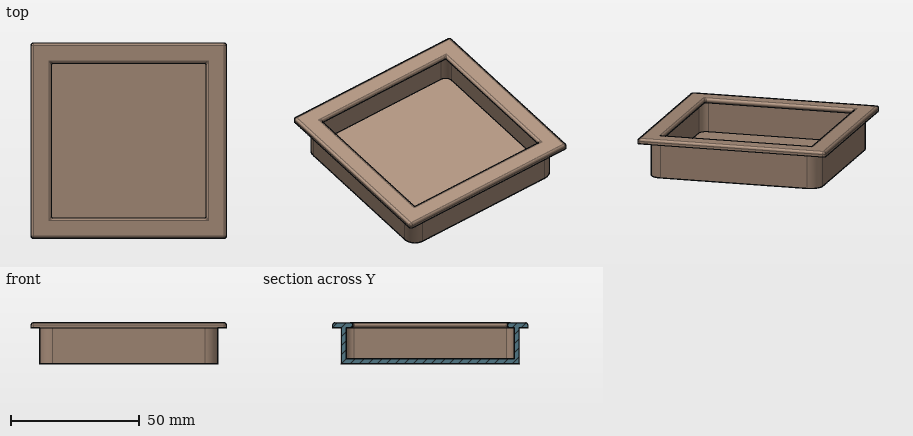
import cadquery as cq
import math

flange_size = 76.0
flange_thickness = 2.0
flange_corner_radius = 1.0
flange_edge_radius = 1.0

total_height = 16.0
body_size = 69.2
body_corner_radius = 5.0
body_height = total_height - flange_thickness

wall_thickness = 2.0
floor_thickness = 2.0
pocket_size = body_size - 2 * wall_thickness
pocket_corner_radius = body_corner_radius - wall_thickness
pocket_depth = body_height - floor_thickness

mouth_size = 60.0
lip_excess = 0.0005
lip_radius = flange_thickness / 2 + lip_excess
mouth_corner_radius = 0.5


def rounded_square(size, corner_radius, bottom, height):
    """Square block centred on the Z axis with rounded vertical edges."""
    block = cq.Workplane("XY").workplane(offset=bottom).rect(size, size).extrude(height)
    return block.edges("|Z").fillet(corner_radius)


def make_flange():
    """Flange plate with a rounded outer top edge."""
    plate = rounded_square(flange_size, flange_corner_radius, body_height, flange_thickness)
    return plate.faces(">Z").edges().fillet(flange_edge_radius)


def make_mouth():
    """Square opening, narrowest at mid-thickness, with its four mitre edges rounded."""
    waist = mouth_size / 2
    half_thickness = flange_thickness / 2
    middle = body_height + half_thickness
    flare = lip_radius - math.sqrt(lip_radius**2 - half_thickness**2)
    brim = waist + flare
    channel = (
        cq.Workplane("XZ")
        .moveTo(-brim, body_height)
        .lineTo(brim, body_height)
        .threePointArc((waist, middle), (brim, total_height))
        .lineTo(-brim, total_height)
        .threePointArc((-waist, middle), (-brim, body_height))
        .close()
        .extrude(flange_size / 2, both=True)
    )
    crossing_channel = channel.rotate((0, 0, 0), (0, 0, 1), 90)
    return channel.intersect(crossing_channel).edges("not %LINE").fillet(mouth_corner_radius)


def make_tray():
    """Open-topped box with rounded vertical corners inside and out."""
    body = rounded_square(body_size, body_corner_radius, 0, body_height)
    pocket = rounded_square(pocket_size, pocket_corner_radius, floor_thickness, pocket_depth)
    return body.cut(pocket)


result = make_flange().cut(make_mouth()).union(make_tray())